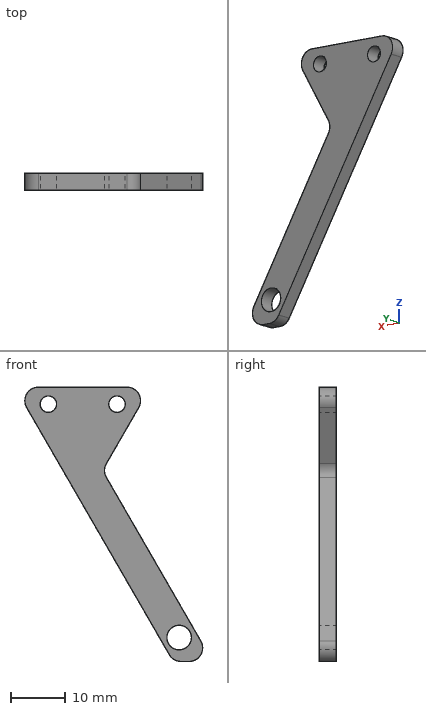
import cadquery as cq
import math

plate_thickness = 3.175
plate_height = 50.8
corner_radius = 2.54

lean_angle = math.radians(30)
arm_width = 6.35

head_width = 21.45

mount_hole_diameter = 3.0
mount_hole_spacing = 12.7
mount_hole_depth_below_top = 3.175
pivot_hole_diameter = 4.5
pivot_height_above_bottom = 4.445

corner_trim = corner_radius * (1 / math.tan(lean_angle) - 1)
head_sharp_width = head_width + 2 * corner_trim
arm_level_width = arm_width / math.cos(lean_angle)
arm_shift = plate_height * math.tan(lean_angle)

inner_corner_depth = (head_sharp_width - arm_level_width) / (2 * math.tan(lean_angle))
inner_corner_x = arm_level_width + inner_corner_depth * math.tan(lean_angle)


def make_plate():
    """Bent bracket outline with every corner rounded; top left sharp corner at the origin."""
    outline = [
        (0, 0),
        (head_sharp_width, 0),
        (inner_corner_x, -inner_corner_depth),
        (arm_shift + arm_level_width, -plate_height),
        (arm_shift, -plate_height),
    ]
    plate = cq.Workplane("XZ").polyline(outline).close().extrude(plate_thickness)
    return plate.edges("|Y").fillet(corner_radius)


def make_hole_cutters(diameter, centers):
    """Cylinders through the full plate thickness."""
    return cq.Workplane("XZ").pushPoints(centers).circle(diameter / 2).extrude(plate_thickness)


head_middle_x = head_sharp_width / 2
mount_holes = [
    (head_middle_x + side * mount_hole_spacing / 2, -mount_hole_depth_below_top)
    for side in (-1, 1)
]

pivot_depth = plate_height - pivot_height_above_bottom
pivot_x = arm_level_width / 2 + pivot_depth * math.tan(lean_angle)
pivot_hole = [(pivot_x, -pivot_depth)]

result = (
    make_plate()
    .cut(make_hole_cutters(mount_hole_diameter, mount_holes))
    .cut(make_hole_cutters(pivot_hole_diameter, pivot_hole))
)